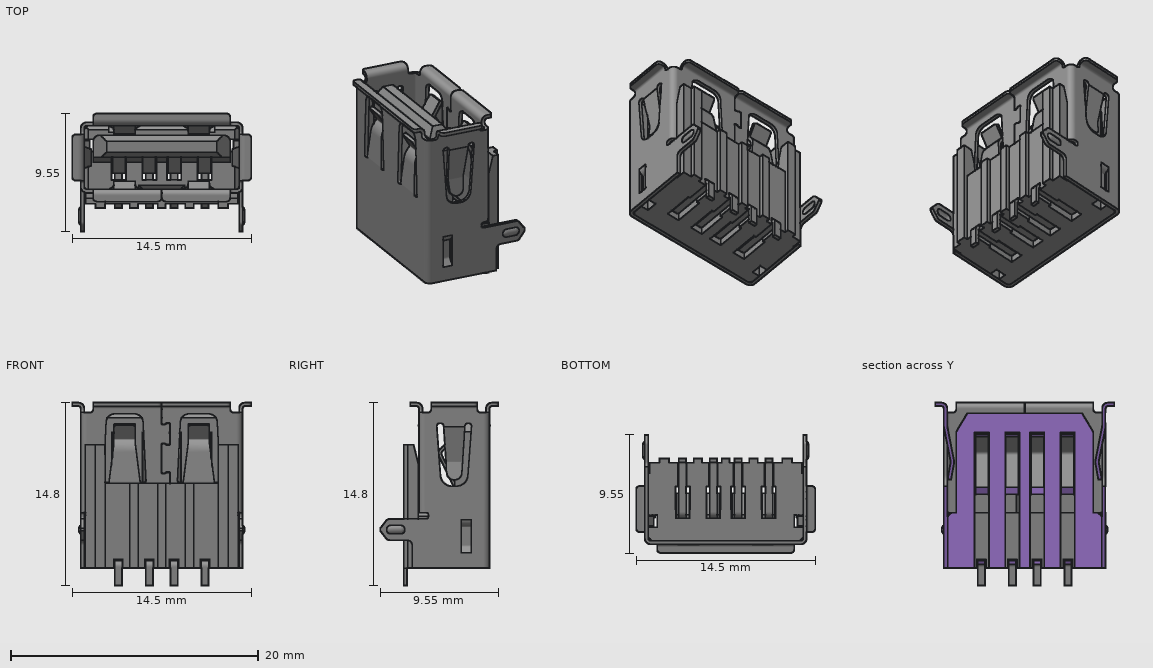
import cadquery as cq
import math


sheet = 0.3
sharp_bend = 0.01
half_width = 6.55
half_depth = 2.86
inner_half_width = half_width - sheet
inner_half_depth = half_depth - sheet
corner_radius = 0.5
shell_top = 13.4
wall_top = 12.6
floor_z = 4.5
cut_reach = 40.0

lip_bend = 0.35
lip_corner = 0.3
lip_root_radius = 0.25
long_lip_width = 11.1
lip_reach = 0.7
short_lip_width = 3.74

seam_gap = 0.04
seam_step = 0.66
seam_hook = 0.055
seam_bend = 0.08
seam_flat_share = 0.35
seam_levels = (11.68, 10.02, 7.72)

spring_x = 3.0
window_bottom = 6.95
window_top = 12.48
window_bottom_half = 1.74
window_top_half = 1.46
window_top_radius = 0.7
window_bottom_radius = 0.15
spring_root_half = 1.26
spring_tip_half = 0.86
spring_root = 7.05
spring_waist = 10.1
spring_heel = (-2.5, 9.85)
spring_knee = (-2.03, 10.39)
spring_tip = (-2.77, 11.62)
spring_heel_radius = 1.34
spring_knee_radius = 0.25
spring_tip_radius = 0.15

flap_hinge = 11.45
flap_knee_depth = 0.56
flap_knee = 8.6
flap_end = 7.15
flap_end_depth = 0.25
flap_hinge_half = 0.88
flap_end_half = 0.58
flap_end_radius = 0.57
slot_top = 11.72
slot_bottom = 6.64
slot_top_half = 1.42
slot_bottom_half = 1.04
slot_top_radius = 0.24
slot_bottom_radius = 0.92

clip_y = 0.98
clip_width = 0.8
clip_top = 3.91
clip_bottom = 1.18
clip_depth = 0.45
clip_top_runs = (0.24, 0.46)
clip_bottom_run = 0.54
clip_bend_radii = (0.42, 0.16, 0.43)

tab_top = 3.99
tab_bottom = 2.26
tab_tip = -5.99
tab_shoulder = -5.4
tab_tip_half = 0.1
tab_radius = 0.4
skirt_front = -3.4
relief_back = -2.08
relief_radius = 0.2
fold_line = corner_radius - half_depth
bead_height = 0.17
bead_half_width = 0.35
bead_centre = (-4.73, 3.12)
bead_straight = 0.78

floor_chamfer_height = 0.3
floor_side_chamfer = 0.33
floor_back_chamfer = 0.3
core_corner = 0.25
front_chamfer_half = 1.85
panel_half_width = 6.17
panel_back = -2.9
panel_front = -3.76
panel_top = 6.87
wing_top = 10.0
wing_inner = 4.57
wing_bevel_bottom = 8.46
wing_bevel_back = -3.28
rib_front = -4.1
rib_spans = ((wing_inner, 5.37), (1.9, 2.6), (-0.32, 0.32))
deep_chamfer_span = (2.9, 4.3)
deep_chamfer_front = 2.05
clip_slot_width = 0.96

tongue_half_width = 5.55
tongue_front = 0.03
tongue_back = 1.81
tongue_top = 12.85
tongue_flat_half = 4.46
tongue_flat_front = 0.43
tongue_flat_back = 1.31
tongue_front_chamfer_z = 12.17
tongue_back_chamfer_z = 12.0
tongue_side_chamfer_z = 11.02
tongue_back_corner = 0.56
tongue_foot_front = -0.39
tongue_foot_top = 5.5

tail_positions = (-3.5, -1.0, 1.0, 3.5)
beam_positions = (-3.46, -1.03, 1.03, 3.46)
slot_positions = (-3.47, -1.0, 1.0, 3.47)
contact_thickness = 0.3
beam_thickness = 0.26
beam_width = 1.03
tail_width = 0.6
tail_bottom = -1.4
tail_y = rib_front + contact_thickness / 2
tail_z = 0.46
tail_bend = 0.35
leg_y = 0.6
leg_top = 5.53
beam_knee = (-1.24, 9.36)
beam_knee_radius = 0.4
beam_tip = (0.25, 10.8)
leg_split = 1.6
contact_slot_width = 1.14
contact_slot_top = 10.98
contact_slot_back = leg_y + contact_thickness / 2
contact_slot_front = -1.81
tail_channel_width = 0.74
tail_channel_top = 0.72


def box(x, y, z):
    """Box given by its three (low, high) ranges."""
    size = (x[1] - x[0], y[1] - y[0], z[1] - z[0])
    return cq.Workplane("XY").box(*size, centered=False).translate((x[0], y[0], z[0]))


def side_prism(points, x_range):
    """Straight-sided (Y, Z) outline extruded over a range of X."""
    length = x_range[1] - x_range[0]
    return cq.Workplane("YZ").polyline(points).close().extrude(length).translate((x_range[0], 0, 0))


def front_prism(points, y_range):
    """Straight-sided (X, Z) outline extruded over a range of Y."""
    length = y_range[1] - y_range[0]
    return cq.Workplane("XZ").polyline(points).close().extrude(-length).translate((0, y_range[0], 0))


def strip(path, bends, thickness, width):
    """Bent strip: a (Y, Z) centre path with one bend radius per inner point, centred on X = 0."""
    half = thickness / 2
    directions = []
    for (y0, z0), (y1, z1) in zip(path, path[1:]):
        length = math.hypot(y1 - y0, z1 - z0)
        directions.append(((y1 - y0) / length, (z1 - z0) / length))

    def beside(point, direction, offset):
        return (point[0] - direction[1] * offset, point[1] + direction[0] * offset)

    left = [beside(path[0], directions[0], half)]
    right = [beside(path[0], directions[0], -half)]
    for corner, before, after, radius in zip(path[1:], directions, directions[1:], bends):
        cross = before[0] * after[1] - before[1] * after[0]
        dot = before[0] * after[0] + before[1] * after[1]
        turn = math.atan2(cross, dot)
        setback = radius * math.tan(abs(turn) / 2)
        start = (corner[0] - before[0] * setback, corner[1] - before[1] * setback)
        centre = beside(start, before, math.copysign(radius, turn))
        for side, offset in ((left, half), (right, -half)):
            side_radius = radius - math.copysign(1, turn) * offset
            for step in (0, turn / 2, turn):
                heading = math.atan2(before[1], before[0]) + step
                tangent = (math.cos(heading), math.sin(heading))
                side.append(beside(centre, tangent, -math.copysign(side_radius, turn)))
    left.append(beside(path[-1], directions[-1], half))
    right.append(beside(path[-1], directions[-1], -half))

    outline = cq.Workplane("YZ").moveTo(*left[0])
    for chain in (left, right[::-1]):
        if chain[0] != left[0]:
            outline = outline.lineTo(*chain[0])
        for bend_start in range(1, len(chain) - 1, 3):
            outline = outline.lineTo(*chain[bend_start])
            outline = outline.threePointArc(chain[bend_start + 1], chain[bend_start + 2])
        outline = outline.lineTo(*chain[-1])
    return outline.close().extrude(width / 2, both=True)


def turned(body, angle):
    """Body turned about the vertical axis."""
    return body.rotate((0, 0, 0), (0, 0, 1), angle)


FRONT, RIGHT, BACK, LEFT = 0, 90, 180, -90


def lip(wall, width):
    """Lip flared outward from the top of a wall whose outer face is at Y = -wall."""
    mid = -wall + sheet / 2
    level = shell_top - sheet / 2
    body = strip([(mid, wall_top), (mid, level), (-wall - lip_reach, level)], [lip_bend], sheet, width)
    corners = cq.selectors.BoxSelector(
        (-width, -wall - lip_reach - sheet / 2, wall_top),
        (width, -wall - lip_reach + sheet / 2, shell_top + sheet),
    )
    return body.edges("|Z").edges(corners).fillet(lip_corner)


def lip_root(wall, width):
    """Fillets where the sides of a lip meet the top of its wall."""
    r = lip_root_radius
    fillets = cq.Workplane("XY")
    for side in (-1, 1):
        edge = side * width / 2
        outer = edge + side * r
        middle = (outer - side * r * math.sin(math.pi / 4), wall_top + r - r * math.cos(math.pi / 4))
        wedge = (
            cq.Workplane("XZ")
            .moveTo(edge, wall_top)
            .lineTo(outer, wall_top)
            .threePointArc(middle, (edge, wall_top + r))
            .close()
            .extrude(sheet)
        )
        fillets = fillets.add(wedge.translate((0, -wall + sheet, 0)))
    return fillets.combine()


def spring_window(x):
    """Tapered opening around a spring, cut through the front and back walls."""
    outline = [
        (x - window_bottom_half, window_bottom),
        (x + window_bottom_half, window_bottom),
        (x + window_top_half, window_top),
        (x - window_top_half, window_top),
    ]
    opening = front_prism(outline, (-half_depth - sheet, half_depth + sheet))
    opening = opening.edges("|Y").edges(">Z").fillet(window_top_radius)
    return opening.edges("|Y").edges("<Z").fillet(window_bottom_radius)


def spring(x):
    """Cantilever rising from the bottom of a front window, leaning in and then out again."""
    root_y = -half_depth + sheet / 2
    path = [(root_y, window_bottom - sheet), (root_y, spring_root), spring_heel, spring_knee, spring_tip]
    bends = [sheet / 2 + sharp_bend, spring_heel_radius, spring_knee_radius]
    blank = strip(path, bends, sheet, 2 * spring_root_half)
    outline = [
        (-spring_root_half, window_bottom - 2 * sheet),
        (spring_root_half, window_bottom - 2 * sheet),
        (spring_root_half, window_bottom),
        (spring_tip_half, spring_waist),
        (spring_tip_half, wall_top),
        (-spring_tip_half, wall_top),
        (-spring_tip_half, spring_waist),
        (-spring_root_half, window_bottom),
    ]
    shaped = blank.intersect(front_prism(outline, (-2 * half_depth, 0)))
    tip_top = shaped.faces(cq.selectors.NearestToPointSelector((0, *spring_tip)))
    return tip_top.edges("not |X").fillet(spring_tip_radius).translate((x, 0, 0))


def flap_outline():
    """Tapered outline of the side flaps, as a prism along X through both side walls."""
    outline = [
        (-flap_hinge_half, slot_top),
        (-flap_end_half, flap_end),
        (flap_end_half, flap_end),
        (flap_hinge_half, slot_top),
    ]
    prism = side_prism(outline, (-2 * half_width, 2 * half_width))
    return prism.edges("|X").edges("<Z").fillet(flap_end_radius)


def flap_slot():
    """U-shaped slot around the side flaps, cut through both side walls."""
    outline = [
        (-slot_top_half, slot_top),
        (-slot_bottom_half, slot_bottom),
        (slot_bottom_half, slot_bottom),
        (slot_top_half, slot_top),
    ]
    prism = side_prism(outline, (-2 * half_width, 2 * half_width))
    prism = prism.edges("|X").edges("<Z").fillet(slot_bottom_radius)
    return prism.cut(flap_outline()).edges("|X").edges(">Z").fillet(slot_top_radius)


def flap():
    """Side flap, hung from its top edge and leaning inward; built facing -Y."""
    mid = -half_width + sheet / 2
    path = [
        (mid, slot_top),
        (mid, flap_hinge),
        (mid + flap_knee_depth, flap_knee),
        (mid + flap_end_depth, flap_end - sheet),
    ]
    blank = strip(path, [sheet, sheet], sheet, 2 * slot_top_half)
    return blank.intersect(turned(flap_outline(), RIGHT))


def clip():
    """Strip pressed inward from a side wall, joined to it at both ends; built facing -Y."""
    mid = -half_width + sheet / 2
    pressed = mid + clip_depth
    lower_bend = clip_bottom + clip_bottom_run
    path = [
        (mid, clip_top + sheet),
        (mid, clip_top - clip_top_runs[0]),
        (pressed, clip_top - clip_top_runs[1]),
        (pressed, lower_bend),
        (mid - clip_depth, lower_bend - 2 * clip_bottom_run),
    ]
    body = strip(path, clip_bend_radii, sheet, clip_width)
    return body.intersect(box((-clip_width, clip_width), (-half_width, 0), (0, wall_top)))


def seam():
    """Narrow hooked gap down the front wall and its lip."""
    lips = shell_top - wall_top
    path = [(0, shell_top + lips)]
    edges = (0, seam_step)
    for index, level in enumerate(seam_levels):
        start = edges[index % 2]
        finish = edges[(index + 1) % 2]
        flat = (finish - start) * seam_flat_share
        path += [
            (start, level - seam_hook),
            (start + flat, level - seam_hook),
            (finish - flat, level + seam_hook),
            (finish, level + seam_hook),
        ]
    path.append((seam_step, floor_z - lips))
    bends = [seam_bend] * (len(path) - 2)
    hook = strip(path, bends, seam_gap, 2 * lip_reach + 2 * sheet)
    return turned(hook, -90).translate((0, -half_depth - sheet / 2, 0))


def bead(shift):
    """Rounded bead on the right solder tab, moved outward by a shift."""
    radius = (bead_half_width**2 + bead_height**2) / (2 * bead_height)
    y, z = bead_centre
    body = cq.Workplane("XZ").circle(radius).extrude(bead_straight / 2, both=True)
    for end in (-1, 1):
        body = body.union(cq.Workplane("XY").sphere(radius).translate((0, end * bead_straight / 2, 0)))
    face = half_width + shift
    body = body.translate((face + bead_height - radius, y, z))
    length = bead_straight + 2 * radius
    beyond_face = box((face, face + radius), (y - length, y + length), (z - radius, z + radius))
    return body.intersect(beyond_face)


def solder_side():
    """Flat lower front of the right side wall, with the solder tab and its bead."""
    tab_middle = (tab_top + tab_bottom) / 2
    outline = [
        (fold_line, 0),
        (fold_line, tab_top),
        (tab_shoulder, tab_top),
        (tab_tip, tab_middle + tab_tip_half),
        (tab_tip, tab_middle - tab_tip_half),
        (tab_shoulder, tab_bottom),
        (skirt_front, tab_bottom),
        (skirt_front, 0),
    ]
    plate = side_prism(outline, (inner_half_width, half_width))
    rounded = cq.selectors.BoxSelector(
        (0, tab_shoulder - tab_tip_half, 0), (2 * half_width, skirt_front + tab_radius, 2 * tab_top)
    )
    plate = plate.edges("|X").edges(rounded).edges("not <Z").fillet(tab_radius)
    return plate.union(bead(0)).cut(bead(-sheet))


def make_shell():
    outer = cq.Workplane("XY").box(2 * half_width, 2 * half_depth, wall_top, centered=(True, True, False))
    inner = cq.Workplane("XY").box(
        2 * inner_half_width, 2 * inner_half_depth, wall_top, centered=(True, True, False)
    )
    body = outer.edges("|Z").fillet(corner_radius).cut(inner.edges("|Z").fillet(corner_radius - sheet))

    everywhere = (-cut_reach, cut_reach)
    body = body.cut(box(everywhere, (-cut_reach, fold_line), (0, floor_z)))
    relief = box(everywhere, (-cut_reach, relief_back), (tab_top, floor_z))
    body = body.cut(relief.edges("|X").edges(">Y").fillet(relief_radius))

    for side in (solder_side(), solder_side().mirror("YZ")):
        body = body.union(side)
    for angle in (FRONT, BACK):
        body = body.union(turned(lip(half_depth, long_lip_width), angle))
        body = body.union(turned(lip_root(half_depth, long_lip_width), angle))
    for angle in (LEFT, RIGHT):
        body = body.union(turned(lip(half_width, short_lip_width), angle))
        body = body.union(turned(lip_root(half_width, short_lip_width), angle))

    for x in (-spring_x, spring_x):
        body = body.cut(spring_window(x))
    for x in (-spring_x, spring_x):
        for angle in (FRONT, BACK):
            body = body.union(turned(spring(x), angle))

    body = body.cut(flap_slot())
    clip_range = (clip_y - clip_width / 2, clip_y + clip_width / 2)
    flap_window = flap_outline().intersect(box(everywhere, everywhere, (0, flap_hinge)))
    body = body.cut(flap_window).cut(box(everywhere, clip_range, (clip_bottom, clip_top)))
    for angle in (LEFT, RIGHT):
        body = body.union(turned(flap(), angle))
        body = body.union(turned(clip(), angle).translate((0, clip_y, 0)))
    body = body.cut(seam())
    lip_edge = -half_depth - lip_reach
    seam_corners = cq.selectors.BoxSelector(
        (-sheet, lip_edge - sheet, wall_top), (sheet, lip_edge + sheet, shell_top + sheet)
    )
    return body.edges("|Z").edges(seam_corners).fillet(lip_corner)


def core():
    """Block that fills the lower shell, with a lead-in chamfer at its back and sides."""
    body = box((-inner_half_width, inner_half_width), (panel_back, inner_half_depth), (0, floor_z))
    body = body.edges("|Z").edges(">Y").chamfer(core_corner)
    shoulder = floor_z - floor_chamfer_height
    everywhere = (-cut_reach, cut_reach)
    for side in (-1, 1):
        wedge = [
            (side * inner_half_width, shoulder),
            (side * inner_half_width, floor_z),
            (side * (inner_half_width - floor_side_chamfer), floor_z),
        ]
        body = body.cut(front_prism(wedge, everywhere))
    back = [
        (inner_half_depth, shoulder),
        (inner_half_depth, floor_z),
        (inner_half_depth - floor_back_chamfer, floor_z),
    ]
    body = body.cut(side_prism(back, everywhere))
    front = [
        (-inner_half_depth, shoulder),
        (-inner_half_depth, floor_z),
        (-inner_half_depth + floor_side_chamfer, floor_z),
    ]
    low_half = front_chamfer_half - floor_chamfer_height
    flared = [
        (-low_half, shoulder),
        (low_half, shoulder),
        (front_chamfer_half, floor_z),
        (-front_chamfer_half, floor_z),
    ]
    notch = side_prism(front, (-front_chamfer_half, front_chamfer_half))
    body = body.cut(notch.intersect(front_prism(flared, (-half_depth, 0))))
    deep_back = [
        (inner_half_depth, shoulder),
        (inner_half_depth, floor_z),
        (deep_chamfer_front, floor_z),
    ]
    for span in (deep_chamfer_span, (-deep_chamfer_span[1], -deep_chamfer_span[0])):
        body = body.cut(side_prism(deep_back, span))
    return body


def panel():
    """Ribbed panel in front of the shell, with a taller wing at each end."""
    body = box((-panel_half_width, panel_half_width), (panel_front, panel_back), (0, panel_top))
    wing = [
        (panel_front, 0),
        (panel_front, wing_top),
        (wing_bevel_back, wing_top),
        (panel_back, wing_bevel_bottom),
        (panel_back, 0),
    ]
    for span in ((-panel_half_width, -wing_inner), (wing_inner, panel_half_width)):
        body = body.union(side_prism(wing, span))
    for low, high in rib_spans:
        top = wing_top if low >= wing_inner else panel_top
        for span in {(low, high), (-high, -low)}:
            body = body.union(box(span, (rib_front, panel_front), (0, top)))
    return body


def tongue():
    """Contact carrier standing on the floor, bevelled around its top."""
    outline = [
        (tongue_foot_front, 0),
        (tongue_foot_front, floor_z),
        (tongue_front, tongue_foot_top),
        (tongue_front, tongue_front_chamfer_z),
        (tongue_flat_front, tongue_top),
        (tongue_flat_back, tongue_top),
        (tongue_back, tongue_back_chamfer_z),
        (tongue_back, 0),
    ]
    body = side_prism(outline, (-tongue_half_width, tongue_half_width))
    body = body.edges("|Z").edges(">Y").fillet(tongue_back_corner)
    face = [
        (-tongue_half_width, 0),
        (-tongue_half_width, tongue_side_chamfer_z),
        (-tongue_flat_half, tongue_top),
        (tongue_flat_half, tongue_top),
        (tongue_half_width, tongue_side_chamfer_z),
        (tongue_half_width, 0),
    ]
    return body.intersect(front_prism(face, (-half_depth, half_depth)))


def contact_slot(x):
    """Slot for one contact, open through the tongue and floor."""
    half = contact_slot_width / 2
    return box((x - half, x + half), (contact_slot_front, contact_slot_back), (0, contact_slot_top))


def tail_channel(x):
    """Channel under the housing for one contact tail."""
    half = tail_channel_width / 2
    return box((x - half, x + half), (rib_front, contact_slot_back), (0, tail_channel_top))


def make_housing():
    body = core().union(panel()).union(tongue())
    for x in slot_positions:
        body = body.cut(contact_slot(x))
    for x in tail_positions:
        body = body.cut(tail_channel(x))
    clip_slot_y = (clip_y - clip_slot_width / 2, clip_y + clip_slot_width / 2)
    for span in ((-inner_half_width, -tongue_half_width), (tongue_half_width, inner_half_width)):
        body = body.cut(box(span, clip_slot_y, (0, floor_z)))
    return body


def make_contact(tail_x, beam_x):
    tail = strip(
        [(tail_y, tail_bottom), (tail_y, tail_z), (leg_y, tail_z), (leg_y, leg_split)],
        [tail_bend, tail_bend],
        contact_thickness,
        tail_width,
    )
    beam = strip(
        [(leg_y, leg_split), (leg_y, leg_top), beam_knee, beam_tip],
        [contact_thickness, beam_knee_radius],
        beam_thickness,
        beam_width,
    )
    return tail.translate((tail_x, 0, 0)).union(beam.translate((beam_x, 0, 0)))


shell = make_shell()
housing = make_housing()
contacts = [make_contact(*places) for places in zip(tail_positions, beam_positions)]

result = cq.Compound.makeCompound([housing.val(), shell.val(), *[contact.val() for contact in contacts]])